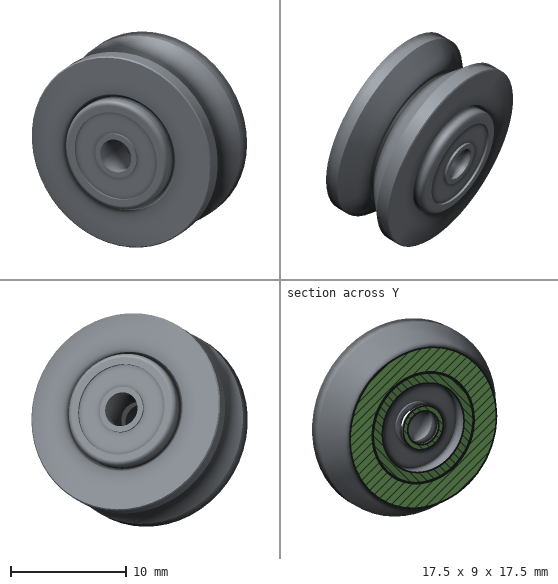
import cadquery as cq


bearing_radius = 5.0
bearing_width = 4.0
bearing_bore_radius = 1.5
bearing_edge_fillet = 0.4
inner_ring_radius = 2.0
outer_ring_inner_radius = 4.0
shield_recess = 0.2
assembly_width = 9.0

wheel_radius = 8.75
wheel_width = 7.0
rim_chamfer = 0.1
bore_chamfer = 0.3
groove_depth = 1.95
relief_width = 0.5
relief_floor_radius = 6.4
shoulder_radius = outer_ring_inner_radius
shoulder_width = assembly_width - 2 * bearing_width


def disc(radius, width, centre_y=0.0):
    """Solid disc on the Y axis, spread evenly about centre_y."""
    return (
        cq.Workplane("XZ", origin=(0, centre_y, 0))
        .circle(radius)
        .extrude(width / 2, both=True)
    )


def make_wheel():
    """V-groove wheel with a bearing seat on each side of a central shoulder."""
    half_width = wheel_width / 2
    half_relief = relief_width / 2
    half_shoulder = shoulder_width / 2
    half_profile = [
        (shoulder_radius, half_shoulder),
        (bearing_radius, half_shoulder),
        (bearing_radius, half_width - bore_chamfer),
        (bearing_radius + bore_chamfer, half_width),
        (wheel_radius - rim_chamfer, half_width),
        (wheel_radius, half_width - rim_chamfer),
        (wheel_radius, half_relief + groove_depth),
        (wheel_radius - groove_depth, half_relief),
        (relief_floor_radius, half_relief),
    ]
    mirrored_profile = [(radius, -y) for radius, y in reversed(half_profile)]
    profile = cq.Workplane("XY").polyline(half_profile + mirrored_profile).close()
    return profile.revolve(360, (0, 0, 0), (0, 1, 0))


def make_bearing(side):
    """Ball bearing as one solid, on the +Y (side = 1) or -Y (side = -1) end of the wheel."""
    centre_y = side * (assembly_width - bearing_width) / 2
    bearing = disc(bearing_radius, bearing_width, centre_y).edges().fillet(bearing_edge_fillet)
    for face in (-1, 1):
        recess_y = centre_y + face * (bearing_width - shield_recess) / 2
        recess = disc(outer_ring_inner_radius, shield_recess, recess_y)
        recess = recess.cut(disc(inner_ring_radius, shield_recess, recess_y))
        bearing = bearing.cut(recess)
    return bearing.cut(disc(bearing_bore_radius, bearing_width, centre_y))


wheel = make_wheel()
bearings = [make_bearing(side) for side in (-1, 1)]

result = cq.Compound.makeCompound([wheel.val(), *[bearing.val() for bearing in bearings]])